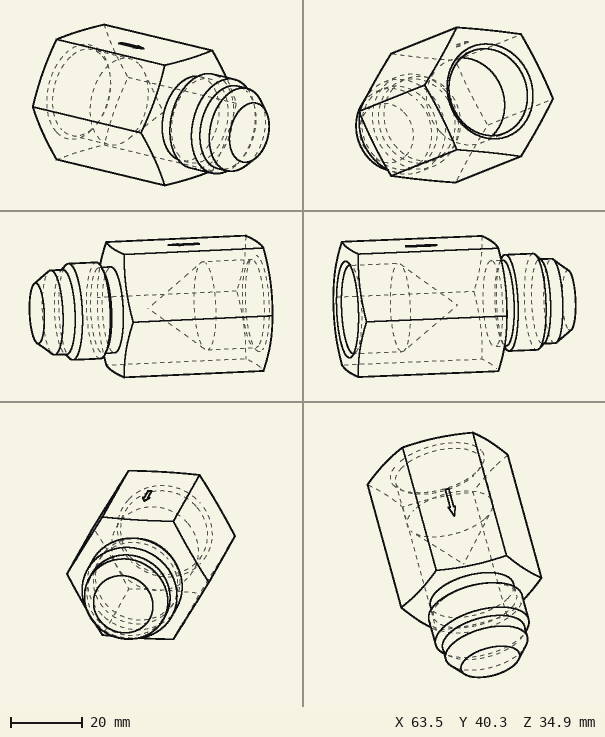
import cadquery as cq
import math

hex_across_flats = 34.925
hex_length = 41.65
corner_bevel_angle = 15.0

thread_diameter = 26.98
neck_diameter = 24.05
pilot_diameter = 23.7
nose_tip_diameter = 16.9
neck_end = 45.0
thread_start = 45.8
thread_end = 53.8
pilot_start = 55.5
overall_length = 63.5
flare_angle = 37.0

bore_diameter = 24.69
bore_mouth_diameter = thread_diameter
mouth_chamfer_length = (bore_mouth_diameter - bore_diameter) / 2
bore_depth = 15.1
bore_end_cone_angle = 74.0

arrow_tail_x = 16.5
arrow_neck_x = 22.3
arrow_tip_x = 25.3
arrow_y = -1.1
arrow_shaft_width = 1.0
arrow_head_width = 2.0
engraving_depth = 0.1


def revolve_about_x(profile):
    """Revolve (x, radius) points, closed along the axis, about the X axis."""
    return cq.Workplane("XY").polyline(profile).close().revolve(360, (0, 0, 0), (1, 0, 0))


def make_hex_body():
    """Hexagon with flats up and down and both ends bevelled at the corners."""
    flat_radius = hex_across_flats / 2
    corner_radius = flat_radius / math.cos(math.pi / 6)
    prism = cq.Workplane("YZ").polygon(6, 2 * corner_radius).extrude(hex_length)

    bevel_length = (corner_radius - flat_radius) * math.tan(math.radians(corner_bevel_angle))
    bevel_envelope = revolve_about_x([
        (0, 0),
        (0, flat_radius),
        (bevel_length, corner_radius),
        (hex_length - bevel_length, corner_radius),
        (hex_length, flat_radius),
        (hex_length, 0),
    ])
    return prism.intersect(bevel_envelope)


def make_male_end():
    """Neck, thread blank, pilot and conical nose, joined to the end of the hexagon."""
    nose_length = (pilot_diameter - nose_tip_diameter) / 2 / math.tan(math.radians(flare_angle))
    pilot_end = overall_length - nose_length
    return revolve_about_x([
        (hex_length, 0),
        (hex_length, neck_diameter / 2),
        (neck_end, neck_diameter / 2),
        (thread_start, thread_diameter / 2),
        (thread_end, thread_diameter / 2),
        (pilot_start, pilot_diameter / 2),
        (pilot_end, pilot_diameter / 2),
        (overall_length, nose_tip_diameter / 2),
        (overall_length, 0),
    ])


def make_port():
    """Blind bore with a chamfered mouth and a conical end."""
    bore_radius = bore_diameter / 2
    cone_length = bore_radius / math.tan(math.radians(bore_end_cone_angle / 2))
    return revolve_about_x([
        (0, 0),
        (0, bore_mouth_diameter / 2),
        (mouth_chamfer_length, bore_radius),
        (bore_depth, bore_radius),
        (bore_depth + cone_length, 0),
    ])


def make_arrow():
    """Arrow-shaped cutter sunk into the top flat."""
    upper_half = [
        (arrow_tail_x, arrow_shaft_width / 2),
        (arrow_neck_x, arrow_shaft_width / 2),
        (arrow_neck_x, arrow_head_width / 2),
    ]
    lower_half = [(x, -y) for x, y in reversed(upper_half)]
    outline = upper_half + [(arrow_tip_x, 0)] + lower_half
    top_flat = cq.Workplane("XY", origin=(0, arrow_y, hex_across_flats / 2))
    return top_flat.polyline(outline).close().extrude(-engraving_depth)


body = make_hex_body().union(make_male_end())
result = body.cut(make_port()).cut(make_arrow())